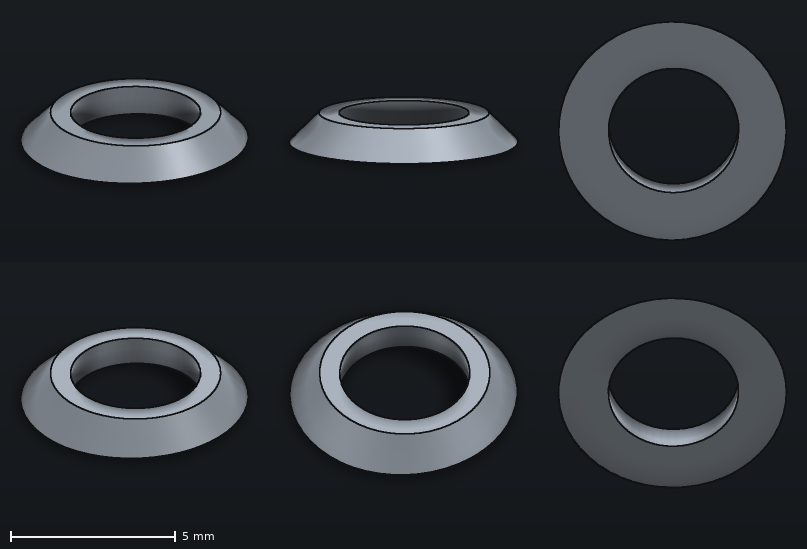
import cadquery as cq

rim_radius = 3.5
top_radius = 2.59
bore_radius = 1.98
flank_height = rim_radius - top_radius
blank_depth = 0.35

tilt_angle = 1.0
rise_direction = 30.0
underside_center_height = 0.0125
cutter_size = 4 * rim_radius


def make_blank():
    """Conical ring on a short cylindrical rim, revolved about Z."""
    return (
        cq.Workplane("XZ")
        .moveTo(bore_radius, -blank_depth)
        .lineTo(rim_radius, -blank_depth)
        .lineTo(rim_radius, 0)
        .lineTo(top_radius, flank_height)
        .lineTo(bore_radius, flank_height)
        .close()
        .revolve(360, (0, 0, 0), (0, 1, 0))
    )


def make_underside_cutter():
    """Large block whose tilted top face forms the underside."""
    return (
        cq.Workplane("XY")
        .box(cutter_size, cutter_size, cutter_size, centered=(True, True, False))
        .translate((0, 0, -cutter_size))
        .rotate((0, 0, 0), (0, 1, 0), -tilt_angle)
        .rotate((0, 0, 0), (0, 0, 1), rise_direction)
        .translate((0, 0, underside_center_height))
    )


result = make_blank().cut(make_underside_cutter())